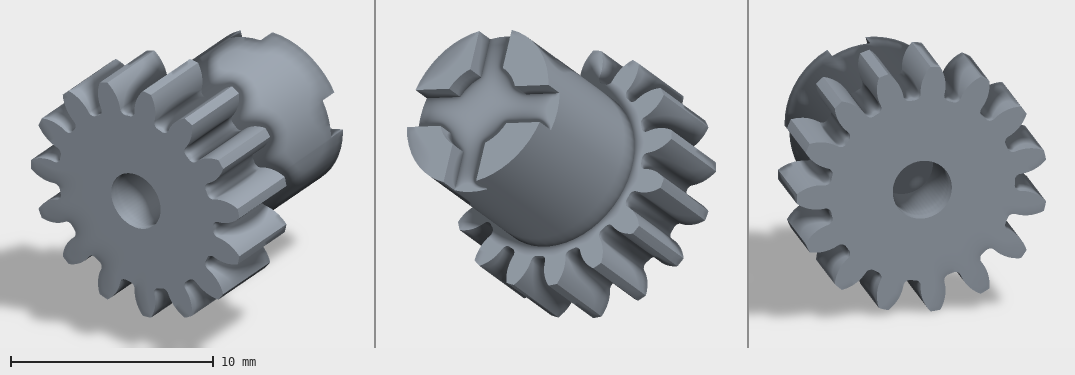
import cadquery as cq
import math

TOOTH_COUNT = 15
TIP_RADIUS = 6.37
ROOT_RADIUS = 4.7
TIP_THICKNESS = 0.5
ROOT_THICKNESS = 1.08
FLANK_RADIUS = 3.8 / 2
ROOT_FILLET = 0.3
FIRST_TOOTH_ANGLE = math.pi

GEAR_WIDTH = 4.0
TOTAL_LENGTH = 11.7
SLOT_DEPTH = 1.0

BOSS_DIAMETER = 8.4
SHAFT_BORE_DIAMETER = 3.0
SHAFT_BORE_DEPTH = GEAR_WIDTH
RECESS_DIAMETER = 4.5
SLOT_WIDTH = 2.0
SLOT_TILT = 15.0

TOOTH_PITCH = 2 * math.pi / TOOTH_COUNT
SLOT_FLOOR = TOTAL_LENGTH - SLOT_DEPTH


def plane_at(y):
    """XZ workplane at the given Y; negative extrusions run toward +Y."""
    return cq.Workplane("XZ", origin=(0, y, 0))


def polar(radius, angle):
    return (radius * math.cos(angle), radius * math.sin(angle))


def half_angle(thickness, radius):
    """Half the angle that a tooth of the given thickness spans at a radius."""
    return math.asin(thickness / 2 / radius)


def make_gear():
    tip_half = half_angle(TIP_THICKNESS, TIP_RADIUS)
    root_half = half_angle(ROOT_THICKNESS, ROOT_RADIUS)

    outline = plane_at(0).moveTo(*polar(ROOT_RADIUS, FIRST_TOOTH_ANGLE - root_half))
    for index in range(TOOTH_COUNT):
        middle = FIRST_TOOTH_ANGLE + index * TOOTH_PITCH
        next_start = middle + TOOTH_PITCH - root_half
        outline = (
            outline.radiusArc(polar(TIP_RADIUS, middle - tip_half), -FLANK_RADIUS)
            .threePointArc(polar(TIP_RADIUS, middle), polar(TIP_RADIUS, middle + tip_half))
            .radiusArc(polar(ROOT_RADIUS, middle + root_half), -FLANK_RADIUS)
            .threePointArc(polar(ROOT_RADIUS, middle + TOOTH_PITCH / 2), polar(ROOT_RADIUS, next_start))
        )
    gear = outline.close().extrude(-GEAR_WIDTH)

    corner_limit = (ROOT_RADIUS + TIP_RADIUS) / 2
    root_corners = [
        edge
        for edge in gear.edges("|Y").vals()
        if math.hypot(edge.Center().x, edge.Center().z) < corner_limit
    ]
    return gear.newObject(root_corners).fillet(ROOT_FILLET)


def make_boss():
    return plane_at(GEAR_WIDTH).circle(BOSS_DIAMETER / 2).extrude(GEAR_WIDTH - TOTAL_LENGTH)


def make_shaft_bore():
    """Blind bore entering from the gear face."""
    return plane_at(0).circle(SHAFT_BORE_DIAMETER / 2).extrude(-SHAFT_BORE_DEPTH)


def make_recess():
    """Round recess in the free end of the boss, level with the slot floors."""
    return plane_at(SLOT_FLOOR).circle(RECESS_DIAMETER / 2).extrude(-SLOT_DEPTH)


def make_slots():
    """Two crossed bars that cut four slots into the free end of the boss."""
    bar = plane_at(SLOT_FLOOR).rect(SLOT_WIDTH, 2 * BOSS_DIAMETER).extrude(-SLOT_DEPTH)
    tilted = bar.rotate((0, 0, 0), (0, 1, 0), -SLOT_TILT)
    crossing = tilted.rotate((0, 0, 0), (0, 1, 0), 90)
    return tilted.union(crossing)


result = (
    make_gear()
    .union(make_boss())
    .cut(make_shaft_bore())
    .cut(make_recess())
    .cut(make_slots())
)